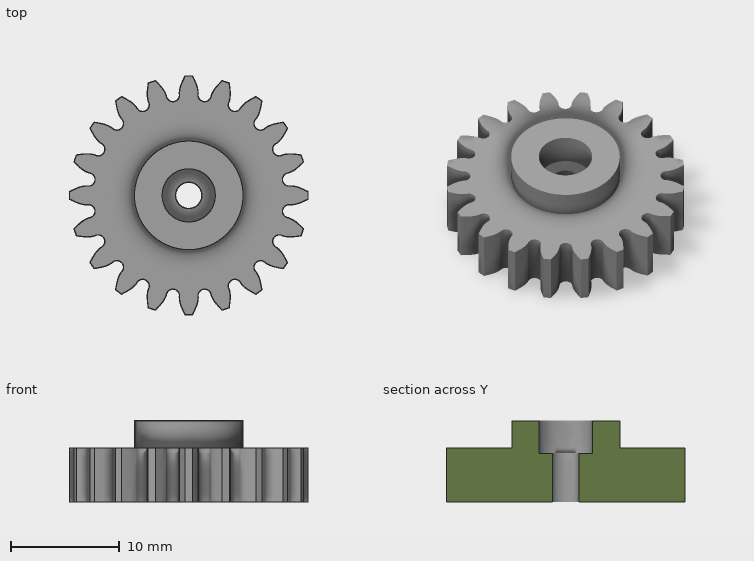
import cadquery as cq
import math

module = 1.0
tooth_count = 20
pressure_angle = math.radians(20)
root_clearance = 0.25 * module
gear_thickness = 5.0

hub_diameter = 10.0
hub_height = 2.5
bore_diameter = 2.4
counterbore_diameter = 4.9
counterbore_depth = 3.0

pitch_radius = module * tooth_count / 2
tip_radius = pitch_radius + module
root_radius = pitch_radius - module - root_clearance
base_radius = pitch_radius * math.cos(pressure_angle)
tooth_pitch = 2 * math.pi / tooth_count
total_height = gear_thickness + hub_height

flank_points = 4


def polar(radius, angle):
    """XY point at a radius and angle from the gear axis."""
    return (radius * math.cos(angle), radius * math.sin(angle))


def tooth_half_angle(radius):
    """Half of the angle a tooth spans at a radius on its involute flanks."""
    local_angle = math.acos(base_radius / radius)
    involute_at_pitch = math.tan(pressure_angle) - pressure_angle
    involute_here = math.tan(local_angle) - local_angle
    return tooth_pitch / 4 + involute_at_pitch - involute_here


def flank(tooth_angle, side):
    """Points on one tooth flank from base circle to tip; side is -1 or +1."""
    points = []
    for step in range(flank_points):
        fraction = (step / (flank_points - 1)) ** 2
        radius = base_radius + (tip_radius - base_radius) * fraction
        points.append(polar(radius, tooth_angle + side * tooth_half_angle(radius)))
    return points


def gear_blank():
    """Toothed disc: involute flanks, flat tips and fully rounded gaps."""
    outline = cq.Workplane("XY").moveTo(*flank(0, -1)[0])
    for tooth in range(tooth_count):
        angle = tooth * tooth_pitch
        rising = flank(angle, -1)
        falling = flank(angle, 1)[::-1]
        next_start = flank(angle + tooth_pitch, -1)[0]
        outline = outline.spline(rising[1:], includeCurrent=True)
        outline = outline.lineTo(*falling[0])
        outline = outline.spline(falling[1:], includeCurrent=True)
        outline = outline.threePointArc(polar(root_radius, angle + tooth_pitch / 2), next_start)
    return outline.close().extrude(gear_thickness)


def hub():
    """Boss above the toothed disc, carried down to its underside."""
    return cq.Workplane("XY").circle(hub_diameter / 2).extrude(total_height)


def stepped_bore():
    """Through bore with a counterbore sunk from the hub face."""
    bore = cq.Workplane("XY").circle(bore_diameter / 2).extrude(total_height)
    counterbore = (
        cq.Workplane("XY")
        .workplane(offset=total_height - counterbore_depth)
        .circle(counterbore_diameter / 2)
        .extrude(counterbore_depth)
    )
    return bore.union(counterbore)


result = gear_blank().union(hub()).cut(stepped_bore())